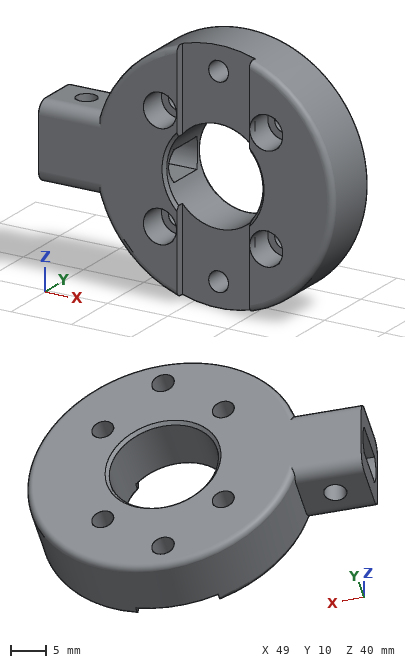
import cadquery as cq

thickness = 10.0
ring_radius = 20.0
ring_edge_radius = 1
bore_radius = 8.0
bore_chamfer = 0.5

overall_length = 49
arm_reach = overall_length - ring_radius
arm_height = 12.5
arm_edge_radius = 2.0
socket_diameter = 8.0
socket_height = 5.0
pin_hole_diameter = 3.3
pin_hole_inset = 5.0

groove_width = 12.05
groove_depth = 1.5
clearance_diameter = 3.2
counterbore_diameter = 5.5
counterbore_depth = thickness / 2
screw_offset = 8.8
end_hole_diameter = 3.3
end_hole_offset = 15.95

front_y = -thickness / 2
arm_end_x = -arm_reach


def cylinder_along_y(x, z, diameter, depth):
    """Cylinder running from the front face into the body."""
    return cq.Workplane("XZ", origin=(x, front_y, z)).circle(diameter / 2).extrude(-depth)


def make_ring():
    disc = cylinder_along_y(0, 0, 2 * ring_radius, thickness)
    return disc.edges().fillet(ring_edge_radius)


def make_arm():
    """Rounded bar from the free end to the ring axis; the bore trims its inner end."""
    bar = cq.Workplane("YZ", origin=(arm_end_x, 0, 0)).rect(thickness, arm_height).extrude(arm_reach)
    return bar.edges("|X").fillet(arm_edge_radius)


def make_bore():
    """Central through bore with a chamfered mouth on both faces."""
    bore = cylinder_along_y(0, 0, 2 * bore_radius, thickness)
    for mouth_y, inward in ((front_y, -1), (-front_y, 1)):
        mouth_plane = cq.Workplane("XZ", origin=(0, mouth_y, 0))
        mouth = mouth_plane.circle(bore_radius + bore_chamfer).extrude(inward * bore_chamfer, taper=45)
        bore = bore.union(mouth)
    return bore


def make_groove():
    """Full-height groove across the front face."""
    groove = cq.Workplane("XY").box(groove_width, groove_depth, 2 * ring_radius)
    return groove.translate((0, front_y + groove_depth / 2, 0))


def make_socket():
    """Round socket with flat top and bottom, from the arm end into the bore."""
    arm_end = cq.Workplane("YZ", origin=(arm_end_x, 0, 0))
    round_socket = arm_end.circle(socket_diameter / 2).extrude(arm_reach)
    flats = cq.Workplane("XY").box(2 * arm_reach, thickness, socket_height)
    return round_socket.intersect(flats)


def make_pin_hole():
    """Vertical through hole near the arm end."""
    pin_hole = cq.Workplane("XY").circle(pin_hole_diameter / 2).extrude(arm_height / 2, both=True)
    return pin_hole.translate((arm_end_x + pin_hole_inset, 0, 0))


def make_end_holes():
    """Pair of plain through holes in the groove, above and below the bore."""
    upper = cylinder_along_y(0, end_hole_offset, end_hole_diameter, thickness)
    lower = cylinder_along_y(0, -end_hole_offset, end_hole_diameter, thickness)
    return upper.union(lower)


def make_screw_hole(x, z):
    """Through hole counterbored from the front face."""
    clearance = cylinder_along_y(x, z, clearance_diameter, thickness)
    counterbore = cylinder_along_y(x, z, counterbore_diameter, counterbore_depth)
    return clearance.union(counterbore)


body = make_ring().union(make_arm())
body = body.cut(make_bore()).cut(make_groove()).cut(make_end_holes())
body = body.cut(make_socket()).cut(make_pin_hole())

for x in (-screw_offset, screw_offset):
    for z in (-screw_offset, screw_offset):
        body = body.cut(make_screw_hole(x, z))

result = body